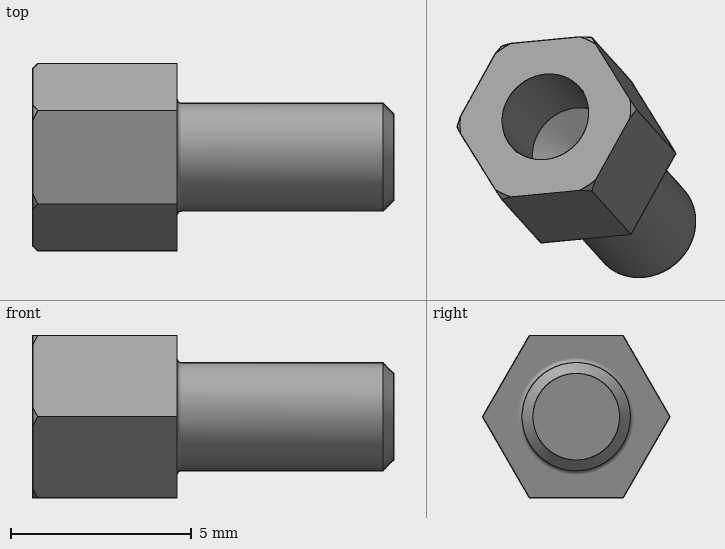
import cadquery as cq
import math

total_length = 10.0
head_length = 4.0
across_flats = 4.5
across_corners = across_flats / math.cos(math.pi / 6)
head_face_radius = 2.46
corner_chamfer_length = 0.14

shank_radius = 1.5
tip_chamfer = 0.3
neck_fillet = 0.12

hole_radius = 1.25
hole_depth = 3.0
drill_point_angle = 118.0
drill_point_length = hole_radius / math.tan(math.radians(drill_point_angle / 2))


def revolve_about_x(profile):
    """Turn a closed (x, radius) profile around the X axis."""
    return profile.close().revolve(360, (0, 0, 0), (1, 0, 0))


def make_head():
    """Hexagon with flats facing +/-Z and its corners coned off at the open face."""
    hexagon = cq.Workplane("YZ").polygon(6, across_corners).extrude(head_length)
    corner_radius = across_corners / 2
    envelope = revolve_about_x(
        cq.Workplane("XY")
        .lineTo(0, head_face_radius)
        .lineTo(corner_chamfer_length, corner_radius)
        .lineTo(head_length, corner_radius)
        .lineTo(head_length, 0)
    )
    return hexagon.intersect(envelope)


def make_shank():
    """Round shank with a concave neck fillet and a chamfered tip."""
    return revolve_about_x(
        cq.Workplane("XY")
        .moveTo(head_length, 0)
        .lineTo(head_length, shank_radius + neck_fillet)
        .radiusArc((head_length + neck_fillet, shank_radius), -neck_fillet)
        .lineTo(total_length - tip_chamfer, shank_radius)
        .lineTo(total_length, shank_radius - tip_chamfer)
        .lineTo(total_length, 0)
    )


def make_hole():
    """Blind hole drilled from the head face."""
    return revolve_about_x(
        cq.Workplane("XY")
        .lineTo(0, hole_radius)
        .lineTo(hole_depth, hole_radius)
        .lineTo(hole_depth + drill_point_length, 0)
    )


result = make_head().union(make_shank()).cut(make_hole())